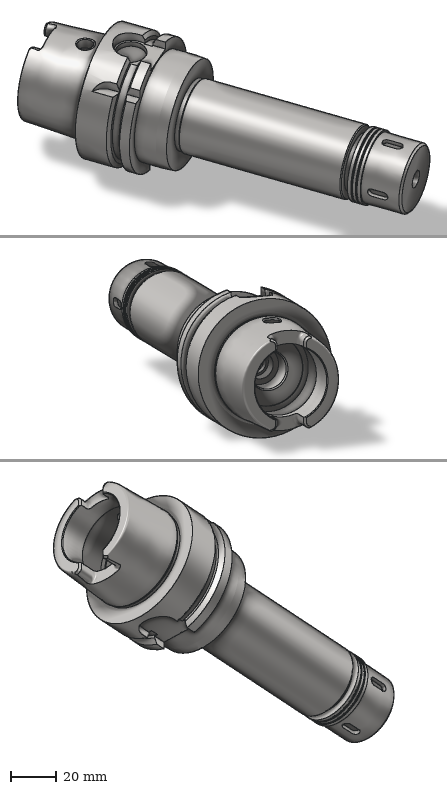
import cadquery as cq
import math


shank_length = 32.0
taper_gauge_dia = 48.0
taper_gauge_offset = 6.3
taper_ratio = 9.98
taper_rim_round = 1.1
relief_width = 2.1
relief_depth = 0.5
relief_slope_length = 1.0

face_recess_outer_dia = 51.2
face_recess_inner_dia = 49.0
face_recess_depth = 0.3
flange_dia = 63.0
flange_length = 26.0
groove_dia = 55.0
groove_floor_start = 16.1
groove_floor_end = 19.9
groove_taper_side_bevel = (1.2, 2.2)
groove_nut_side_bevel = (1.4, 2.6)

collar_dia = 52.0
collar_straight_end = 36.4
collar_end = 41.3
collar_end_dia = 51.3

neck_dia = 33.6
neck_end = 43.3
extension_dia = 34.5
extension_end = 121.5
extension_chamfer = 0.5
front_end = 150.0
nut_neck_dia = 27.0
nut_start = 124.6
nut_ring_dia = 34.5
nut_ring_end = 130.8
nut_groove_width = 0.7
nut_groove_depth = 0.6
nut_groove_centers = (126.6, 128.8)
nut_back_dia = 32.85
nut_front_dia = 32.65
nut_front_chamfer = 1.0

bore_dia = 34.0
bore_depth = 27.5
bore_floor_dia = 32.0
bore_rim_chamfer = 0.4
recess_dia = 37.0
recess_start = -18.8
bore_floor_step = 0.5
thread_mouth_dia = 18.2
thread_dia = 17.0
thread_mouth_depth = 0.6
thread_depth = 10.0
seat_dia = 12.0
seat_depth = 16.0
through_dia = 8.0
through_mouth_dia = 10.0
through_mouth_depth = 1.0

keyway_width = 12.54
keyway_base = 10.0
keyway_flare_start = 17.9
keyway_flare_radius = 3.0
keyway_shelf = 4.0
keyway_floor_fillet = 1.5
keyway_mouth_chamfer = 1.0
keyway_depth_top = 5.7
keyway_depth_bottom = 9.7

access_dia = 7.5
access_chamfer = 0.75
access_x = -9.0

slot_width_top = 16.0
slot_width_bottom = 18.0
slot_center_x = 12.9
slot_floor = 26.5
chip_hole_dia = 14.0
chip_hole_depth = 2.6
notch_wall = 20.0
notch_width = 16.0
notch_center_x = 12.1

wrench_slot_length = 9.6
wrench_slot_width = 4.1
wrench_slot_depth = 2.0
wrench_slot_x = 138.8
wrench_slot_count = 4


def taper_radius(x):
    """Radius of the taper at axial position x."""
    return (taper_gauge_dia + (x + taper_gauge_offset) / taper_ratio) / 2


def revolve(points):
    """Revolve an (x, radius) outline about the X axis."""
    return cq.Workplane("XY").polyline(points).close().revolve(360, (0, 0, 0), (1, 0, 0))


def make_body():
    """Solid outer shape: taper, grooved flange, collar, extension and collet nut."""
    rim_x = -shank_length
    relief_start = -relief_width
    r_flange = flange_dia / 2
    r_relief = taper_radius(relief_start) - relief_depth
    r_ext = extension_dia / 2
    taper_side_run, taper_side_drop = groove_taper_side_bevel
    nut_side_run, nut_side_drop = groove_nut_side_bevel
    round_end = rim_x + taper_rim_round
    round_inset = taper_rim_round * (1 - math.cos(math.pi / 4))
    points = [
        (relief_start, taper_radius(relief_start)),
        (relief_start + relief_slope_length, r_relief),
        (face_recess_depth, r_relief),
        (face_recess_depth, face_recess_inner_dia / 2),
        (0, face_recess_outer_dia / 2),
        (0, r_flange),
        (groove_floor_start - taper_side_run, r_flange),
        (groove_floor_start, r_flange - taper_side_drop),
        (groove_floor_start, groove_dia / 2),
        (groove_floor_end, groove_dia / 2),
        (groove_floor_end, r_flange - nut_side_drop),
        (groove_floor_end + nut_side_run, r_flange),
        (flange_length, r_flange),
        (flange_length, collar_dia / 2),
        (collar_straight_end, collar_dia / 2),
        (collar_end, collar_end_dia / 2),
        (collar_end, neck_dia / 2),
        (neck_end, neck_dia / 2),
        (neck_end + extension_chamfer, r_ext),
        (extension_end - extension_chamfer, r_ext),
        (extension_end, r_ext - extension_chamfer),
        (extension_end, nut_neck_dia / 2),
        (nut_start, nut_neck_dia / 2),
        (nut_start, nut_ring_dia / 2),
        (nut_ring_end, nut_ring_dia / 2),
        (nut_ring_end, nut_back_dia / 2),
        (front_end - nut_front_chamfer, nut_front_dia / 2),
        (front_end, nut_front_dia / 2 - nut_front_chamfer),
        (front_end, 0),
    ]
    return (
        cq.Workplane("XY")
        .moveTo(rim_x, 0)
        .lineTo(rim_x, taper_radius(round_end) - taper_rim_round)
        .threePointArc(
            (rim_x + round_inset, taper_radius(round_end) - round_inset),
            (round_end, taper_radius(round_end)),
        )
        .polyline(points, includeCurrent=True)
        .close()
        .revolve(360, (0, 0, 0), (1, 0, 0))
    )


def make_bore():
    """Stepped bore, open at the taper end, with a through hole to the nut face."""
    rim_x = -shank_length
    floor_x = rim_x + bore_depth
    thread_start = floor_x + thread_mouth_depth
    thread_end = floor_x + thread_depth
    seat_end = floor_x + seat_depth
    points = [
        (rim_x, 0),
        (rim_x, bore_dia / 2 + bore_rim_chamfer),
        (rim_x + bore_rim_chamfer, bore_dia / 2),
        (recess_start, bore_dia / 2),
        (recess_start, recess_dia / 2),
        (floor_x - bore_floor_step, recess_dia / 2),
        (floor_x - bore_floor_step, bore_floor_dia / 2),
        (floor_x, bore_floor_dia / 2),
        (floor_x, thread_mouth_dia / 2),
        (thread_start, thread_dia / 2),
        (thread_end, thread_dia / 2),
        (thread_end, seat_dia / 2),
        (seat_end, seat_dia / 2),
        (seat_end, through_mouth_dia / 2),
        (seat_end + through_mouth_depth, through_dia / 2),
        (front_end, through_dia / 2),
        (front_end, 0),
    ]
    return revolve(points)


def make_nut_groove(center_x):
    """Ring cutter for one groove in the rear rim of the nut."""
    r_out = nut_ring_dia / 2
    r_in = r_out - nut_groove_depth
    return (
        cq.Workplane("YZ", origin=(center_x - nut_groove_width / 2, 0, 0))
        .circle(r_out)
        .circle(r_in)
        .extrude(nut_groove_width)
    )


def keyway_section(x, growth):
    """Keyway outline in the plane at x: straight walls that flare out through an arc to a level shelf."""
    half_width = keyway_width / 2 + growth
    arc_radius = keyway_flare_radius - growth
    shelf_y = half_width + arc_radius
    shelf_z = keyway_flare_start + arc_radius
    arc_mid_y = half_width + arc_radius * (1 - math.cos(math.pi / 4))
    arc_mid_z = keyway_flare_start + arc_radius * math.sin(math.pi / 4)
    shelf_end = shelf_y + keyway_shelf
    return (
        cq.Workplane("YZ", origin=(x, 0, 0))
        .moveTo(-half_width, keyway_base)
        .lineTo(half_width, keyway_base)
        .lineTo(half_width, keyway_flare_start)
        .threePointArc((arc_mid_y, arc_mid_z), (shelf_y, shelf_z))
        .lineTo(shelf_end, shelf_z)
        .lineTo(shelf_end, flange_dia / 2)
        .lineTo(-shelf_end, flange_dia / 2)
        .lineTo(-shelf_end, shelf_z)
        .lineTo(-shelf_y, shelf_z)
        .threePointArc((-arc_mid_y, arc_mid_z), (-half_width, keyway_flare_start))
        .close()
    )


def make_keyway(depth):
    """Keyway cutter for the +Z side, with a filleted floor and a chamfered mouth."""
    rim_x = -shank_length
    channel = keyway_section(rim_x, 0).extrude(depth).faces(">X").edges().fillet(keyway_floor_fillet)
    mouth_outline = keyway_section(rim_x, keyway_mouth_chamfer).val()
    wall_outline = keyway_section(rim_x + keyway_mouth_chamfer, 0).val()
    mouth = cq.Solid.makeLoft([mouth_outline, wall_outline], True)
    return channel.union(cq.Workplane(mouth))


def make_access_hole():
    """Radial hole through the +Z wall of the taper, countersunk outside."""
    mouth_z = taper_radius(access_x)
    hole = cq.Workplane("XY", origin=(access_x, 0, 0)).circle(access_dia / 2).extrude(flange_dia / 2)
    countersink = cq.Solid.makeCone(
        access_dia / 2,
        access_dia / 2 + access_chamfer,
        access_chamfer,
        pnt=cq.Vector(access_x, 0, mouth_z - access_chamfer),
    )
    return hole.union(cq.Workplane(countersink))


def round_ended_slot(width, center_x, center_y, floor_z):
    """Slot milled along Z, with a round end, running out through the rear flange face."""
    height = flange_dia / 2 - floor_z
    run = flange_length - center_x
    base = cq.Workplane("XY", origin=(center_x, center_y, floor_z))
    straight = base.rect(run, width).extrude(height).translate((run / 2, 0, 0))
    return base.circle(width / 2).extrude(height).union(straight)


def make_chip_hole():
    """Shallow round pocket in the floor of the +Z flange slot."""
    start = cq.Workplane("XY", origin=(slot_center_x, 0, slot_floor))
    return start.circle(chip_hole_dia / 2).extrude(-chip_hole_depth)


def make_notch():
    """Corner notch with one wall at y = -notch_wall and its floor at z = notch_wall."""
    return round_ended_slot(notch_width, notch_center_x, -notch_wall - notch_width / 2, notch_wall)


def make_wrench_slot(angle):
    """Flat-floored slot in the nut, turned about the axis from +Z by angle degrees."""
    r_floor = nut_front_dia / 2 - wrench_slot_depth
    slot = (
        cq.Workplane("XY", origin=(wrench_slot_x, 0, r_floor))
        .slot2D(wrench_slot_length, wrench_slot_width)
        .extrude(extension_dia / 2 - r_floor)
    )
    return slot.rotate((0, 0, 0), (1, 0, 0), angle)


result = make_body().cut(make_bore())
for x in nut_groove_centers:
    result = result.cut(make_nut_groove(x))
result = result.cut(make_keyway(keyway_depth_top))
result = result.cut(make_keyway(keyway_depth_bottom).mirror("XY"))
result = result.cut(make_access_hole())
result = result.cut(round_ended_slot(slot_width_top, slot_center_x, 0, slot_floor))
result = result.cut(round_ended_slot(slot_width_bottom, slot_center_x, 0, slot_floor).mirror("XY"))
result = result.cut(make_chip_hole())
result = result.cut(make_notch())
for i in range(wrench_slot_count):
    result = result.cut(make_wrench_slot(i * 360 / wrench_slot_count))